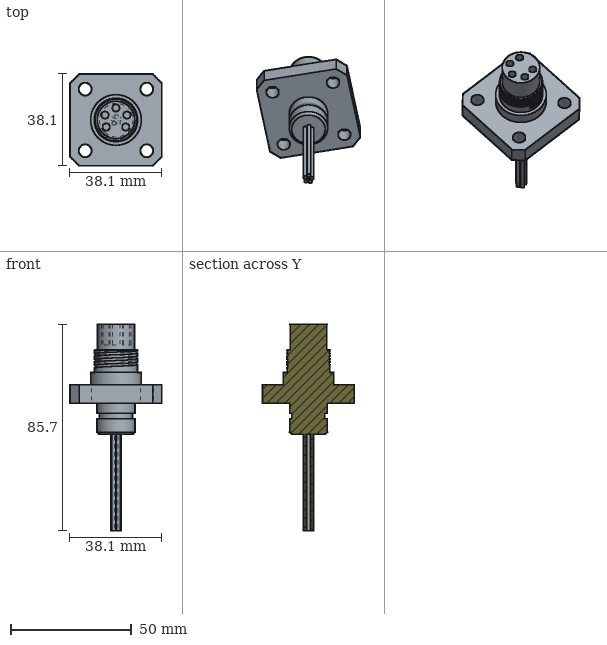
import cadquery as cq
import math

total_height = 85.7

flange_side = 38.1
flange_bottom = 52.8
flange_top = 60.6
flange_corner_chamfer = 3.85
mount_hole_diameter = 5.2
mount_hole_spacing = 25.5

collar_diameter = 21.0
collar_top = 65.7
thread_diameter = 18.0
thread_top = 75.1
thread_edge_chamfer = 0.25
plug_diameter = 15.5

groove_pitch = 2.4
groove_width = 1.1
groove_depth = 0.3
groove_start_height = 2.3
groove_start_angle = 162.0
groove_overlap = 0.4

tail_diameter = 15.9
tail_bottom = 39.9
tail_chamfer = 1.0
ring_groove_diameter = 13.9
ring_groove_top = 48.7
ring_groove_bottom = 46.5
ring_groove_fillet = 0.2

socket_diameter = 3.0
socket_circle_radius = 5.0
socket_depth = 8.6
socket_angles = [24, 90, 156, 216, 324]

wire_count = 5
wire_diameter = 1.5
wire_circle_radius = 1.5
wire_first_angle = 90.0
wire_embed = 0.85


def cylinder(diameter, bottom, top):
    """Solid cylinder on the Z axis between two heights."""
    return cq.Workplane("XY").workplane(offset=bottom).circle(diameter / 2).extrude(top - bottom)


def points_on_circle(radius, angles):
    """Points at the given angles, in degrees, on a circle round the axis."""
    return [
        (radius * math.cos(math.radians(angle)), radius * math.sin(math.radians(angle)))
        for angle in angles
    ]


def make_flange():
    """Square plate with cut corners and four through holes."""
    plate = (
        cq.Workplane("XY")
        .workplane(offset=flange_bottom)
        .rect(flange_side, flange_side)
        .extrude(flange_top - flange_bottom)
        .edges("|Z")
        .chamfer(flange_corner_chamfer)
    )
    return (
        plate.faces(">Z")
        .workplane()
        .rect(mount_hole_spacing, mount_hole_spacing, forConstruction=True)
        .vertices()
        .hole(mount_hole_diameter)
    )


def make_helical_groove():
    """Helical bar of rectangular section, built from ruled faces between corner helices."""
    floor_radius = thread_diameter / 2 - groove_depth
    outer_radius = thread_diameter / 2 + groove_overlap
    half_width = groove_width / 2
    start_z = collar_top + groove_start_height
    helix_height = thread_top + groove_width - start_z

    section_corners = [
        (floor_radius, -half_width),
        (outer_radius, -half_width),
        (outer_radius, half_width),
        (floor_radius, half_width),
    ]
    corner_helices = [
        cq.Wire.makeHelix(groove_pitch, helix_height, radius, center=cq.Vector(0, 0, start_z + offset))
        for radius, offset in section_corners
    ]
    sides = [
        cq.Face.makeRuledSurface(corner_helices[i - 1], corner_helices[i])
        for i in range(len(corner_helices))
    ]
    start_face, end_face = [
        cq.Face.makeFromWires(cq.Wire.makePolygon(points, close=True))
        for points in (
            [helix.startPoint() for helix in corner_helices],
            [helix.endPoint() for helix in corner_helices],
        )
    ]
    bar = cq.Solid.makeSolid(cq.Shell.makeShell(sides + [start_face, end_face]))
    return cq.Workplane(obj=bar).rotate((0, 0, 0), (0, 0, 1), groove_start_angle)


def make_thread():
    """Threaded barrel: a chamfered cylinder with a square helical groove."""
    barrel = cylinder(thread_diameter, collar_top, thread_top)
    barrel = barrel.faces(">Z").edges().chamfer(thread_edge_chamfer)
    return barrel.cut(make_helical_groove())


def make_plug():
    """Plain plug at the top, with blind contact sockets in its end face."""
    sockets = (
        cq.Workplane("XY")
        .workplane(offset=total_height - socket_depth)
        .pushPoints(points_on_circle(socket_circle_radius, socket_angles))
        .circle(socket_diameter / 2)
        .extrude(socket_depth)
    )
    return cylinder(plug_diameter, thread_top, total_height).cut(sockets)


def make_tail():
    """Round tail below the flange, with a rounded ring groove and a chamfered end."""
    tail = cylinder(tail_diameter, tail_bottom, flange_bottom)
    tail = tail.faces("<Z").edges().chamfer(tail_chamfer)
    neck = cylinder(ring_groove_diameter, ring_groove_bottom, ring_groove_top)
    ring = cylinder(tail_diameter, ring_groove_bottom, ring_groove_top).cut(neck)
    groove_zone = cq.selectors.BoxSelector(
        (-tail_diameter, -tail_diameter, ring_groove_bottom - ring_groove_fillet),
        (tail_diameter, tail_diameter, ring_groove_top + ring_groove_fillet),
        boundingbox=True,
    )
    return tail.cut(ring).edges(groove_zone).edges("%CIRCLE").fillet(ring_groove_fillet)


def make_wires():
    """Straight wires that start a little way inside the tail."""
    angles = [wire_first_angle + i * 360 / wire_count for i in range(wire_count)]
    return (
        cq.Workplane("XY")
        .pushPoints(points_on_circle(wire_circle_radius, angles))
        .circle(wire_diameter / 2)
        .extrude(tail_bottom + wire_embed)
    )


result = (
    make_flange()
    .union(cylinder(collar_diameter, flange_top, collar_top))
    .union(make_thread())
    .union(make_plug())
    .union(make_tail())
    .union(make_wires())
)